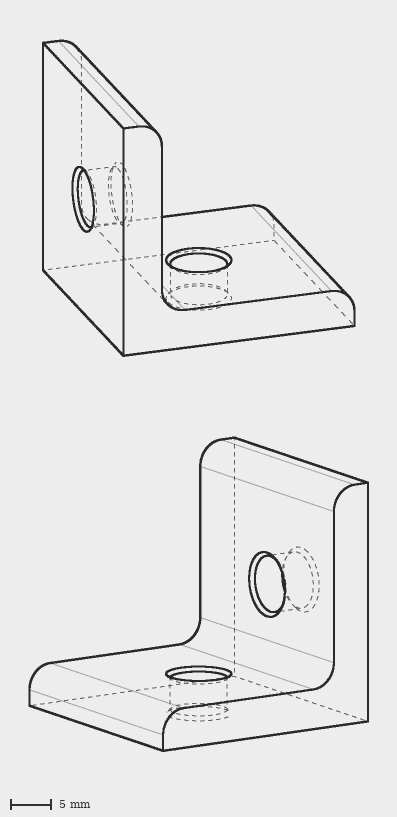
import cadquery as cq

side = 30.0
thickness = 5.0
edge_radius = 3.0
root_radius = 3.0
hole_diameter = 7.0
mouth_diameter = 8.0
hole_center = side / 2
chamfer = (mouth_diameter - hole_diameter) / 2


def angle_section():
    """L profile in the YZ plane, extruded along X."""
    return (
        cq.Workplane("YZ")
        .polyline([
            (0, 0),
            (side, 0),
            (side, thickness),
            (thickness, thickness),
            (thickness, side),
            (0, side),
        ])
        .close()
        .extrude(side)
    )


def round_edge(body, y, z, radius):
    """Round the lengthwise edge that passes through (y, z)."""
    edge = cq.selectors.NearestToPointSelector((side / 2, y, z))
    return body.edges("|X").edges(edge).fillet(radius)


def hole_cutter():
    """Hole along +Z through one leg, with a 45 degree chamfer at both mouths."""
    hole_radius = hole_diameter / 2
    mouth_radius = mouth_diameter / 2
    return (
        cq.Workplane("XZ")
        .polyline([
            (0, 0),
            (mouth_radius, 0),
            (hole_radius, chamfer),
            (hole_radius, thickness - chamfer),
            (mouth_radius, thickness),
            (0, thickness),
        ])
        .close()
        .revolve(360, (0, 0, 0), (0, 1, 0))
    )


body = angle_section()
body = round_edge(body, side, thickness, edge_radius)
body = round_edge(body, thickness, side, edge_radius)
body = round_edge(body, thickness, thickness, root_radius)

floor_hole = hole_cutter().translate((hole_center, hole_center, 0))
wall_hole = (
    hole_cutter()
    .rotate((0, 0, 0), (1, 0, 0), -90)
    .translate((hole_center, 0, hole_center))
)
result = body.cut(floor_hole).cut(wall_hole)